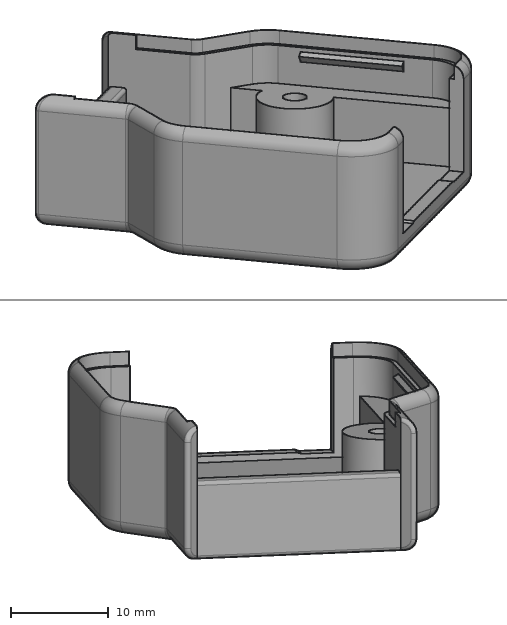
import cadquery as cq
import math

length = 38.95
width = 35.2
height = 13.9

wall = 1.5
floor_z = 2.0
body_half = width / 2
neck_half = 12.1
neck_inner_half = neck_half - wall
shoulder_x = 9.9
corner_radius = 5.0
bend_radius = 0.5
rim_radius = 1.4

mouth_radius = 0.4
bevel_apex_x = -math.sqrt(2) * mouth_radius
front_x = bevel_apex_x + wall
front_wall_back_x = 2.92
front_wall_top = 8.15

sill_top = 2.65
sill_drop = 0.15
sill_middle_half = 6.8
sill_ramp = 0.43

groove_width = 0.5
groove_depth = 1.5
groove_start_x = 3.9

shelf_top = 8.3
shelf_half_gap = 13.3
boss_x = 20.4
boss_y = 12.25
boss_diameter = 7.95
hole_diameter = 2.5

ridge_start_x = 19.85
ridge_length = 11.02
ridge_top = 11.9
ridge_height = 1.1
ridge_depth = 0.55
ridge_crest_drop = 0.35
ridge_root = 0.2

overrun = 3.1
margin = 0.05


def outline(inset, start_x, z, depth):
    """Prism of the body outline moved inward by inset, with its straight front end at start_x."""
    neck = neck_half - inset
    body = body_half - inset
    bend_x = shoulder_x + inset * math.tan(math.radians(22.5))
    top_x = bend_x + body - neck
    half = [(start_x, neck), (bend_x, neck), (top_x, body), (length - inset, body)]
    mirrored = [(x, -y) for x, y in reversed(half)]
    prism = cq.Workplane("XY").workplane(offset=z).polyline(half + mirrored).close().extrude(depth)

    radii = [bend_radius + inset, corner_radius - inset, corner_radius - inset]
    for (x, y), radius in zip(half[1:], radii):
        for side_y in (y, -y):
            corner = cq.selectors.BoxSelector(
                (x - margin, side_y - margin, z - 0.4),
                (x + margin, side_y + margin, z + depth + 0.4),
            )
            prism = prism.edges("|Z").edges(corner).fillet(radius)
    return prism


def block(x0, x1, y0, y1, z0, z1):
    """Box between two opposite corners."""
    return cq.Workplane("XY").box(x1 - x0, y1 - y0, z1 - z0, centered=False).translate((x0, y0, z0))


outer = outline(0, bevel_apex_x - overrun, 0, height)
outer = outer.faces("<Z or >Z").edges("not <X").fillet(rim_radius)

middle = outer.intersect(block(front_x, length, -neck_inner_half, neck_inner_half, 0, height))
middle = middle.faces("<X").edges("<Z").fillet(mouth_radius)

bevel_leg = 3 * overrun
bevel_cutter = (
    cq.Workplane("XY")
    .moveTo(bevel_apex_x - overrun, neck_half + overrun)
    .line(bevel_leg, -bevel_leg)
    .line(-bevel_leg, 0)
    .close()
    .extrude(height)
)
cheek = outer.cut(bevel_cutter)
cheek = cheek.intersect(block(-length, length, neck_inner_half - overrun / 2, width, 0, height))
cheek = cheek.faces("<(1,1,0)").edges("not <Y").fillet(mouth_radius)
cheek = cheek.intersect(block(-length, length, neck_inner_half, width, 0, height))

outer = middle.union(cheek).union(cheek.mirror("XZ"))

shell = outer.cut(outline(wall, front_wall_back_x, floor_z, height))
opening = block(-length, front_wall_back_x + 0.4, -neck_inner_half, neck_inner_half, front_wall_top, height)
shell = shell.cut(opening)
front_wall_edges = cq.selectors.BoxSelector(
    (front_x - margin, -margin, front_wall_top - margin),
    (front_wall_back_x + margin, margin, front_wall_top + margin),
)
shell = shell.edges("|Y").edges(front_wall_edges).fillet(mouth_radius)

shell = shell.cut(
    block(length - wall - 0.4, length + 0.4, -neck_inner_half, neck_inner_half, sill_top, height)
)
ramp_foot = sill_middle_half + sill_ramp
for side in (1, -1):
    ramp = [
        (side * sill_middle_half, sill_top),
        (side * ramp_foot, sill_top - sill_drop),
        (side * neck_inner_half, sill_top - sill_drop),
        (side * neck_inner_half, sill_top),
    ]
    cutter = cq.Workplane("YZ").workplane(offset=length - wall).polyline(ramp).close().extrude(wall)
    shell = shell.cut(cutter)

groove = outline(wall - groove_width, groove_start_x, height - groove_depth, groove_depth)
shell = shell.cut(groove)

cavity = outline(wall, front_wall_back_x, floor_z, shelf_top - floor_z)
shelf = block(0, length, shelf_half_gap, width, 0, shelf_top)
boss = cq.Workplane("XY").center(boss_x, boss_y).circle(boss_diameter / 2).extrude(shelf_top)
filling = shelf.union(boss)
for side_filling in (filling, filling.mirror("XZ")):
    shell = shell.union(side_filling.intersect(cavity))

holes = cq.Workplane("XY").pushPoints([(boss_x, boss_y), (boss_x, -boss_y)])
shell = shell.cut(holes.circle(hole_diameter / 2).extrude(height))

wall_y = body_half - wall
ridge_profile = [
    (wall_y + ridge_root, ridge_top),
    (wall_y, ridge_top),
    (wall_y - ridge_depth, ridge_top - ridge_crest_drop),
    (wall_y, ridge_top - ridge_height),
    (wall_y + ridge_root, ridge_top - ridge_height),
]
ridge = (
    cq.Workplane("YZ")
    .workplane(offset=ridge_start_x)
    .polyline(ridge_profile)
    .close()
    .extrude(ridge_length)
)
result = shell.union(ridge).union(ridge.mirror("XZ"))